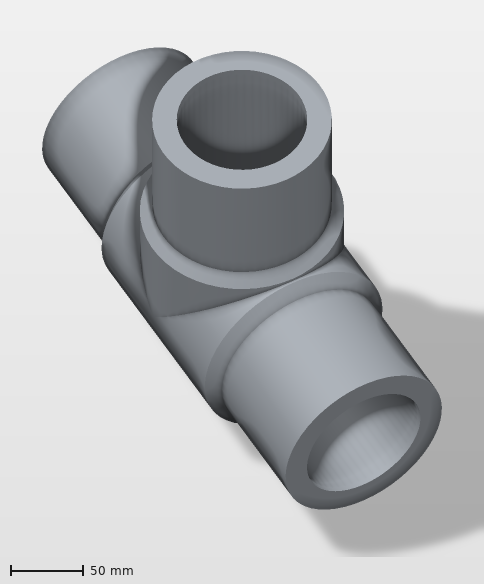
import cadquery as cq

run_length = 342.0
total_height = 242.5
pipe_diameter = 125.0
bore_diameter = 90.5
body_diameter = 142.0
body_reach = 81.5
run_taper_length = 9.0
branch_taper_length = 8.2

pipe_radius = pipe_diameter / 2
bore_radius = bore_diameter / 2
body_radius = body_diameter / 2
run_reach = run_length / 2
branch_reach = total_height - body_radius


def arm(direction, reach, taper_length):
    """Solid arm from the centre: thick body, conical taper, then plain pipe."""
    profile = (
        cq.Workplane("XZ")
        .polyline([
            (0, 0),
            (body_radius, 0),
            (body_radius, body_reach - taper_length),
            (pipe_radius, body_reach),
            (pipe_radius, reach),
            (0, reach),
        ])
        .close()
    )
    solid = profile.revolve(360, (0, 0, 0), (0, 1, 0))
    if direction == "Z":
        return solid
    angle = 90 if direction == "X" else -90
    return solid.rotate((0, 0, 0), (0, 1, 0), angle)


outside = arm("X", run_reach, run_taper_length)
outside = outside.union(arm("-X", run_reach, run_taper_length))
outside = outside.union(arm("Z", branch_reach, branch_taper_length))

run_bore = cq.Workplane("YZ").circle(bore_radius).extrude(run_reach, both=True)
branch_bore = cq.Workplane("XY").circle(bore_radius).extrude(branch_reach)

result = outside.cut(run_bore).cut(branch_bore)